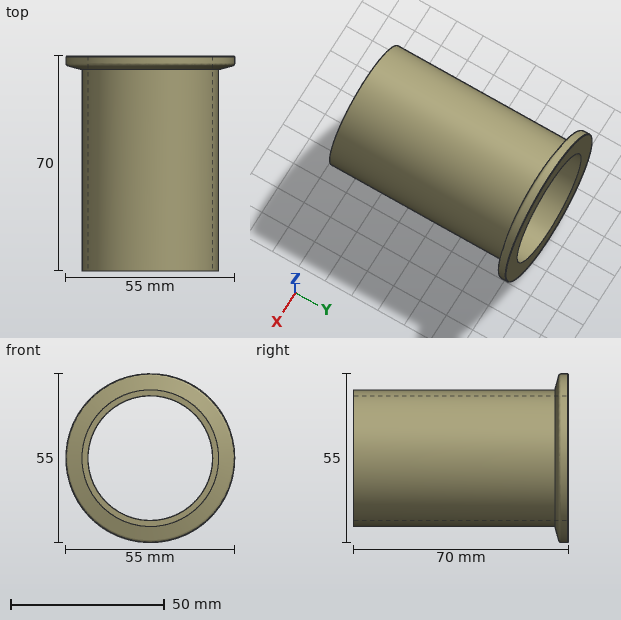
import cadquery as cq
import math

length = 70.0
flange_diameter = 55.0
tube_diameter = 44.5
bore_diameter = 40.5

rim_thickness = 3.0
taper_angle = 15.0
rim_edge_radius = 1.0
face_edge_chamfer = 0.2

flange_radius = flange_diameter / 2
tube_radius = tube_diameter / 2
taper_depth = (flange_radius - tube_radius) * math.tan(math.radians(taper_angle))


def make_tube():
    """Plain cylinder running the full length."""
    return cq.Workplane("XZ").circle(tube_radius).extrude(-length)


def make_flange():
    """Flat-faced rim with a conical back, revolved about the tube axis."""
    rim_back = length - rim_thickness
    profile = (
        cq.Workplane("XY")
        .moveTo(0, length)
        .lineTo(flange_radius, length)
        .lineTo(flange_radius, rim_back)
        .lineTo(tube_radius, rim_back - taper_depth)
        .lineTo(0, rim_back - taper_depth)
        .close()
    )
    flange = profile.revolve(360, (0, 0, 0), (0, 1, 0))
    selection_margin = rim_thickness / 10
    rim_edge = cq.selectors.BoxSelector(
        (-flange_diameter, rim_back - selection_margin, -flange_diameter),
        (flange_diameter, rim_back + selection_margin, flange_diameter),
    )
    flange = flange.edges(rim_edge).fillet(rim_edge_radius)
    return flange.faces(">Y").edges().chamfer(face_edge_chamfer)


bore = cq.Workplane("XZ").circle(bore_diameter / 2).extrude(-length)
result = make_tube().union(make_flange()).cut(bore)